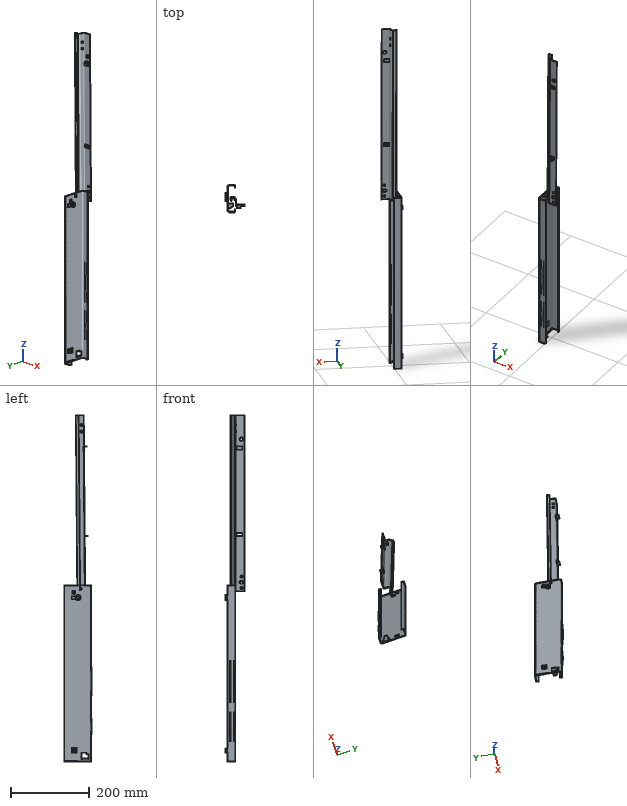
import cadquery as cq
import math

SIZE_X = 49.43
SIZE_Y = 70.8
SIZE_Z = 885.02
X_MIN = -SIZE_X / 2
X_MAX = SIZE_X / 2
Y_MIN = -SIZE_Y / 2
Y_MAX = SIZE_Y / 2

SHEET = 1.8
RAIL_LENGTH = 450.0
CUT = 12.0

HOOK_REACH = 5.4
WEB_OUTER = X_MIN + HOOK_REACH
WEB_INNER = WEB_OUTER + SHEET
FLANGE_EDGE = 1.2
LIP_LENGTH = 7.0
CABINET_BEND = 2.6
LIP_BEND = 1.4
EMBOSS_HEIGHT = 1.8
FLANGE_BOTTOM = Y_MIN + EMBOSS_HEIGHT

EMBOSSES = ((205.0, 106.0, 38.0), (89.0, 75.0, 6.0))
EMBOSS_X_MIN = -13.0
EMBOSS_X_MAX = -2.0

WINDOW_Y_MIN = -27.5
WINDOW_Y_MAX = -9.4
WINDOW_Z_MIN = 6.6
WINDOW_Z_MAX = 22.0
WINDOW_STEP_Y = 6.0
WINDOW_STEP_Z = 3.5
SHELF_Y_MIN = -25.5
SHELF_Y_MAX = -11.5
SHELF_X_MAX = -4.2
SHELF_SLOPE_X = 11.0
SHELF_SLOPE_Y = 7.0

BLOCK_Y_MIN = 3.5
BLOCK_Y_MAX = 15.5
BLOCK_Z_MIN = 22.5
BLOCK_Z_MAX = 34.7
BLOCK_GROOVE_Z = 27.8
BLOCK_GROOVE_WIDTH = 2.5
BLOCK_GROOVE_DEPTH = 2.7
BLOCK_RAMP = 2.4

COLLAR_Z = 419.0
COLLAR_Y = 0.0
COLLAR_TOP_RADIUS = 6.7
COLLAR_ROOT_RADIUS = 5.8
COLLAR_BORE_RADIUS = 3.5
TONGUE_Y_MAX = 15.5
TONGUE_Y_MIN = 3.0
TONGUE_WIDTH = 7.5

RELIEF_Y_MIN = 2.7
RELIEF_HEIGHT = 2.4
RELIEF_DEPTH = 0.5

PILOT_HOLE = (-6.7, 441.5, 5.5)
SUNK_HOLE = (10.7, 432.3)
SUNK_HOLE_DIAMETER = 4.5
SUNK_HEAD_DIAMETER = 8.6

LEAN_ANGLE = 0.47
DRAWER_FLANGE_BOTTOM = -15.1
DRAWER_WEB_X = 2.8
DRAWER_BEND = 0.8

HOOK_LEFT = -10.6
HOOK_RIGHT = -1.6
HOOK_TOP = 20.15
HOOK_LIP_KNEE = 16.5
HOOK_LIP_END = (-8.8, 13.5)
JOG_START_Y = 17.9
JOG_END_Y = 12.6

UPPER_HOLE = (16.0, -61.5, 8.0)
LOWER_HOLE = (16.8, -427.0, 7.5)
LOWER_HOLE_NOTCH = 3.0
SCREW_HOLES = ((16.8, -412.5), (16.8, -441.5))
SCREW_HOLE_DIAMETER = 4.5
WEB_HOLES_Z = (-25.0, -42.0)
WEB_HOLE_Y = 6.3
WEB_HOLE_DIAMETER = 5.0

TABS = ((-79.0, -1), (-310.0, 1))
TAB_WINDOW_X_MIN = 4.6
TAB_WINDOW_X_MAX = 18.0
TAB_WINDOW_HEIGHT = 8.5
TAB_X_MAX = 15.3
TAB_DROP = 6.8
TAB_TAPER = 2.0


def unit(start, end):
    length = math.hypot(end[0] - start[0], end[1] - start[1])
    return ((end[0] - start[0]) / length, (end[1] - start[1]) / length)


def bent_sheet(points, bend_radii, length):
    """Extrude a bent strip along Z. Points run along mid-sheet, one inner bend radius per corner."""
    half = SHEET / 2
    directions = [unit(a, b) for a, b in zip(points, points[1:])]

    def side_point(point, direction, side):
        return (point[0] - side * half * direction[1], point[1] + side * half * direction[0])

    def side_path(side):
        """Points of one face of the strip: the two ends and a (start, middle, end) arc per bend."""
        path = [side_point(points[0], directions[0], side)]
        for corner, before, after, radius in zip(points[1:-1], directions, directions[1:], bend_radii):
            turn = before[0] * after[1] - before[1] * after[0]
            angle = math.atan2(turn, before[0] * after[0] + before[1] * after[1])
            left = math.copysign(1, turn)
            mid_radius = radius + half
            tangent = mid_radius * math.tan(abs(angle) / 2)
            start = (corner[0] - tangent * before[0], corner[1] - tangent * before[1])
            centre = (start[0] - left * mid_radius * before[1], start[1] + left * mid_radius * before[0])
            face_radius = mid_radius - left * side * half
            heading = math.atan2(before[1], before[0]) - left * math.pi / 2
            path.append([
                (centre[0] + face_radius * math.cos(heading + part * angle),
                 centre[1] + face_radius * math.sin(heading + part * angle))
                for part in (0, 0.5, 1)
            ])
        path.append(side_point(points[-1], directions[-1], side))
        return path

    near_face = side_path(1)
    far_face = [item[::-1] if isinstance(item, list) else item for item in side_path(-1)[::-1]]
    outline = cq.Workplane("XY").moveTo(*near_face[0])
    for item in near_face[1:] + far_face:
        if isinstance(item, list):
            outline = outline.lineTo(*item[0]).threePointArc(item[1], item[2])
        else:
            outline = outline.lineTo(*item)
    return outline.close().extrude(length)


def box(x_range, y_range, z_range):
    sizes = [high - low for low, high in (x_range, y_range, z_range)]
    corner = (x_range[0], y_range[0], z_range[0])
    return cq.Workplane("XY").box(*sizes, centered=False).translate(corner)


def hole_along_x(x, y, z, diameter):
    return cq.Workplane("YZ", origin=(x - CUT / 2, y, z)).circle(diameter / 2).extrude(CUT)


def hole_along_y(x, y, z, diameter):
    return cq.Workplane("XZ", origin=(x, y + CUT / 2, z)).circle(diameter / 2).extrude(CUT)


def cabinet_profile():
    half = SHEET / 2
    edge = FLANGE_EDGE - half
    web = WEB_OUTER + half
    top = Y_MAX - half
    bottom = FLANGE_BOTTOM + half
    points = [
        (edge, Y_MAX - LIP_LENGTH),
        (edge, top),
        (web, top),
        (web, bottom),
        (edge, bottom),
        (edge, FLANGE_BOTTOM + LIP_LENGTH),
    ]
    return bent_sheet(points, (LIP_BEND, CABINET_BEND, CABINET_BEND, LIP_BEND), RAIL_LENGTH)


def emboss_prism(z_middle, base_length, crest_length, y_base):
    """Trapezoid bump below y_base, ramped at both ends."""
    return (
        cq.Workplane("YZ", origin=(EMBOSS_X_MIN, y_base, z_middle))
        .polyline([
            (0, -base_length / 2),
            (-EMBOSS_HEIGHT, -crest_length / 2),
            (-EMBOSS_HEIGHT, crest_length / 2),
            (0, base_length / 2),
        ])
        .close()
        .extrude(EMBOSS_X_MAX - EMBOSS_X_MIN)
    )


def add_emboss(rail, z_middle, base_length, crest_length):
    bump = emboss_prism(z_middle, base_length, crest_length, FLANGE_BOTTOM)
    hollow = emboss_prism(z_middle, base_length, crest_length, FLANGE_BOTTOM + SHEET)
    inside = box((EMBOSS_X_MIN + SHEET, EMBOSS_X_MAX - SHEET), (Y_MIN, 0), (0, RAIL_LENGTH))
    return rail.union(bump).cut(hollow.intersect(inside))


def add_window_and_shelf(rail):
    through = (WEB_OUTER - SHEET, WEB_INNER + SHEET)
    window = box(through, (WINDOW_Y_MIN, WINDOW_Y_MAX), (WINDOW_Z_MIN, WINDOW_Z_MAX))
    step = box(
        through,
        (WINDOW_Y_MIN, WINDOW_Y_MIN + WINDOW_STEP_Y),
        (WINDOW_Z_MAX - WINDOW_STEP_Z, WINDOW_Z_MAX),
    )
    shelf = (
        cq.Workplane("XY", origin=(0, 0, WINDOW_Z_MIN))
        .polyline([
            (WEB_OUTER, SHELF_Y_MAX),
            (SHELF_X_MAX, SHELF_Y_MAX),
            (SHELF_X_MAX, SHELF_Y_MIN + SHELF_SLOPE_Y),
            (SHELF_X_MAX - SHELF_SLOPE_X, SHELF_Y_MIN),
            (WEB_OUTER, SHELF_Y_MIN),
        ])
        .close()
        .extrude(SHEET)
    )
    return rail.cut(window.cut(step)).union(shelf)


def add_hook_block(rail):
    block = (
        cq.Workplane("XZ", origin=(0, BLOCK_Y_MAX, 0))
        .polyline([
            (WEB_OUTER, BLOCK_Z_MIN),
            (X_MIN, BLOCK_Z_MIN),
            (X_MIN, BLOCK_Z_MAX - BLOCK_RAMP),
            (WEB_OUTER, BLOCK_Z_MAX),
        ])
        .close()
        .extrude(BLOCK_Y_MAX - BLOCK_Y_MIN)
    )
    groove = box(
        (X_MIN, X_MIN + BLOCK_GROOVE_DEPTH),
        (BLOCK_Y_MIN, BLOCK_Y_MAX),
        (BLOCK_GROOVE_Z - BLOCK_GROOVE_WIDTH / 2, BLOCK_GROOVE_Z + BLOCK_GROOVE_WIDTH / 2),
    )
    return rail.union(block.cut(groove))


def add_collar_and_tongue(rail):
    collar = (
        cq.Workplane("YZ", origin=(X_MIN, COLLAR_Y, COLLAR_Z))
        .circle(COLLAR_TOP_RADIUS)
        .workplane(offset=HOOK_REACH)
        .circle(COLLAR_ROOT_RADIUS)
        .loft()
    )
    bore = hole_along_x(WEB_OUTER, COLLAR_Y, COLLAR_Z, 2 * COLLAR_BORE_RADIUS)
    tongue = box(
        (X_MIN, X_MIN + SHEET),
        (TONGUE_Y_MIN, TONGUE_Y_MAX),
        (COLLAR_Z - TONGUE_WIDTH / 2, COLLAR_Z + TONGUE_WIDTH / 2),
    )
    return rail.union(collar).cut(bore).union(tongue)


def cut_end_relief(rail):
    relief = box((WEB_OUTER, WEB_OUTER + RELIEF_DEPTH), (RELIEF_Y_MIN, Y_MAX), (0, RELIEF_HEIGHT))
    return rail.cut(relief)


def drill_cabinet_web(rail):
    y, z, diameter = PILOT_HOLE
    rail = rail.cut(hole_along_x(WEB_OUTER, y, z, diameter))
    y, z = SUNK_HOLE
    countersink = (
        cq.Workplane("YZ", origin=(WEB_OUTER, y, z))
        .circle(SUNK_HEAD_DIAMETER / 2)
        .workplane(offset=SHEET)
        .circle(SUNK_HOLE_DIAMETER / 2)
        .loft()
    )
    return rail.cut(countersink)


def make_cabinet_rail():
    rail = cabinet_profile()
    for z_middle, base_length, crest_length in EMBOSSES:
        rail = add_emboss(rail, z_middle, base_length, crest_length)
    rail = add_window_and_shelf(rail)
    rail = add_hook_block(rail)
    rail = add_collar_and_tongue(rail)
    rail = cut_end_relief(rail)
    return drill_cabinet_web(rail)


def drawer_profile():
    points = [
        HOOK_LIP_END,
        (HOOK_LEFT, HOOK_LIP_KNEE),
        (HOOK_LEFT, HOOK_TOP),
        (HOOK_RIGHT, HOOK_TOP),
        (HOOK_RIGHT, JOG_START_Y),
        (DRAWER_WEB_X, JOG_END_Y),
        (DRAWER_WEB_X, SHEET / 2),
        (X_MAX, SHEET / 2),
    ]
    bends = [DRAWER_BEND] * (len(points) - 2)
    return bent_sheet(points, bends, RAIL_LENGTH).translate((0, 0, -RAIL_LENGTH))


def add_tab(rail, z_edge, inward):
    """Cut a window in the flange and hang a tapered tab from its edge at z_edge."""
    z_window = sorted((z_edge, z_edge + inward * TAB_WINDOW_HEIGHT))
    window = box((TAB_WINDOW_X_MIN, TAB_WINDOW_X_MAX), (0, SHEET), z_window)
    tab = (
        cq.Workplane("XY", origin=(0, 0, min(z_edge, z_edge + inward * SHEET)))
        .polyline([
            (TAB_WINDOW_X_MIN, SHEET),
            (TAB_WINDOW_X_MAX, SHEET),
            (TAB_WINDOW_X_MAX, 0),
            (TAB_X_MAX, -TAB_TAPER),
            (TAB_X_MAX, -TAB_DROP),
            (TAB_WINDOW_X_MIN, -TAB_DROP),
        ])
        .close()
        .extrude(SHEET)
    )
    return rail.cut(window).union(tab)


def drill_drawer_rail(rail):
    for x, z, diameter in (UPPER_HOLE, LOWER_HOLE):
        rail = rail.cut(hole_along_y(x, 0, z, diameter))
    x, z, diameter = LOWER_HOLE
    nick_x = x - diameter / 2
    half = LOWER_HOLE_NOTCH / 2
    rail = rail.cut(box((nick_x - half, nick_x + half), (0, SHEET), (z - half, z + half)))
    for x, z in SCREW_HOLES:
        rail = rail.cut(hole_along_y(x, 0, z, SCREW_HOLE_DIAMETER))
    for z in WEB_HOLES_Z:
        rail = rail.cut(hole_along_x(DRAWER_WEB_X, WEB_HOLE_Y, z, WEB_HOLE_DIAMETER))
    return rail


def make_drawer_rail():
    rail = drawer_profile()
    for z_edge, inward in TABS:
        rail = add_tab(rail, z_edge, inward)
    rail = drill_drawer_rail(rail)
    leaning = rail.rotate((0, 0, 0), (1, 0, 0), -LEAN_ANGLE)
    return leaning.translate((0, DRAWER_FLANGE_BOTTOM, SIZE_Z))


cabinet_rail = make_cabinet_rail()
drawer_rail = make_drawer_rail()

result = cq.Compound.makeCompound([cabinet_rail.val(), drawer_rail.val()])